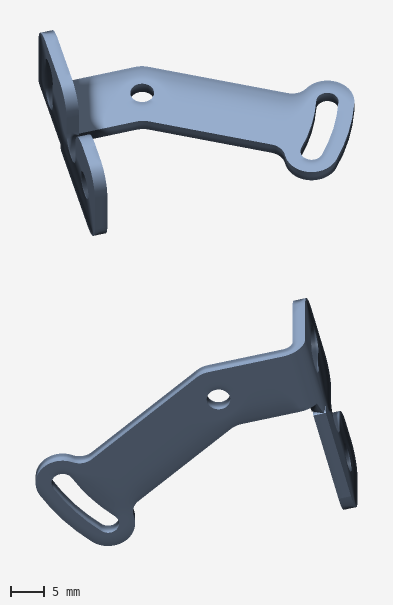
import cadquery as cq
import math

THICKNESS = 1.93
INNER_BEND = 1.52
OUTER_BEND = INNER_BEND + THICKNESS

FLANGE_LENGTH = 31.8
FLANGE_TOP = 17.15
CORNER_RADIUS = 3.85
NOTCH_X = 18.32
NOTCH_RADIUS = 2.5
FLANGE_PIVOT = (26.05, 9.5)
FLANGE_HOLE_DIAMETER = 4.3
FLANGE_SLOT_REACH = 20.35
FLANGE_SLOT_HALF_ANGLE = 7.6
FLANGE_SLOT_RADIUS = 2.15

RUNOUT_TOP_X = 12.15
RUNOUT_END_X = 12.6
RUNOUT_START_ANGLE = 39.5
RUNOUT_END_ANGLE = 26.0

ARM_WIDTH = 10.2
ARM_PIVOT = (ARM_WIDTH / 2, 14.6)
ARM_ANGLE = 61.0
ELBOW_RADIUS = 3.85
ARM_HOLE_DIAMETER = 3.55
HEAD_REACH = 27.65
HEAD_HALF_ANGLE = 10.3
HEAD_SLOT_RADIUS = 1.65
HEAD_RADIUS = 4.05
NECK_RADIUS = 2.7


def polar(center, radius, angle):
    """Point at an angle in degrees on a circle."""
    turn = math.radians(angle)
    return (center[0] + radius * math.cos(turn), center[1] + radius * math.sin(turn))


def arc_slot(plane, center, reach, middle_angle, half_angle, end_radius, depth):
    """Round-ended slot that follows an arc about a pivot."""
    first = middle_angle - half_angle
    last = middle_angle + half_angle
    outer = reach + end_radius
    inner = reach - end_radius
    return (
        cq.Workplane(plane)
        .moveTo(*polar(center, inner, first))
        .threePointArc(polar(center, inner, middle_angle), polar(center, inner, last))
        .threePointArc(
            polar(polar(center, reach, last), end_radius, last + 90), polar(center, outer, last)
        )
        .threePointArc(polar(center, outer, middle_angle), polar(center, outer, first))
        .threePointArc(
            polar(polar(center, reach, first), end_radius, first - 90), polar(center, inner, first)
        )
        .close()
        .extrude(depth)
    )


def make_flange():
    notch_left = NOTCH_X - NOTCH_RADIUS
    notch_right = NOTCH_X + NOTCH_RADIUS
    notch_z = FLANGE_PIVOT[1]
    plate = (
        cq.Workplane("XZ")
        .moveTo(0, OUTER_BEND)
        .lineTo(RUNOUT_TOP_X, OUTER_BEND)
        .lineTo(RUNOUT_END_X, THICKNESS)
        .lineTo(FLANGE_LENGTH, THICKNESS)
        .lineTo(FLANGE_LENGTH, FLANGE_TOP)
        .lineTo(notch_right, FLANGE_TOP)
        .lineTo(notch_right, notch_z)
        .threePointArc((NOTCH_X, notch_z - NOTCH_RADIUS), (notch_left, notch_z))
        .lineTo(notch_left, FLANGE_TOP)
        .lineTo(0, FLANGE_TOP)
        .close()
        .extrude(-THICKNESS)
    )
    lower_corner = cq.NearestToPointSelector((FLANGE_LENGTH, THICKNESS / 2, THICKNESS))
    plate = plate.faces(">Z").edges("|Y").fillet(CORNER_RADIUS)
    plate = plate.edges("|Y").edges(lower_corner).fillet(CORNER_RADIUS)
    hole = (
        cq.Workplane("XZ")
        .center(*FLANGE_PIVOT)
        .circle(FLANGE_HOLE_DIAMETER / 2)
        .extrude(-THICKNESS)
    )
    slot = arc_slot(
        "XZ", FLANGE_PIVOT, FLANGE_SLOT_REACH, 180, FLANGE_SLOT_HALF_ANGLE,
        FLANGE_SLOT_RADIUS, -THICKNESS,
    )
    return plate.cut(hole).cut(slot)


def bend_sector(start_x, length):
    """Quarter-tube joining the flange to the arm."""
    axis = (OUTER_BEND, OUTER_BEND)
    return (
        cq.Workplane("YZ", origin=(start_x, 0, 0))
        .moveTo(0, OUTER_BEND)
        .threePointArc(polar(axis, OUTER_BEND, 225), (OUTER_BEND, 0))
        .lineTo(OUTER_BEND, THICKNESS)
        .threePointArc(polar(axis, INNER_BEND, 225), (THICKNESS, OUTER_BEND))
        .close()
        .extrude(length)
    )


def make_runout():
    """Bend beyond the arm, trimmed to a bend angle that shrinks along X."""
    axis = (OUTER_BEND, OUTER_BEND)
    far = 2 * OUTER_BEND
    length = RUNOUT_END_X - ARM_WIDTH
    wedge = (
        cq.Workplane("YZ", origin=(ARM_WIDTH, 0, 0))
        .polyline([axis, polar(axis, far, 180), polar(axis, far, 180 + RUNOUT_START_ANGLE)])
        .close()
        .workplane(offset=length)
        .polyline([axis, polar(axis, far, 180), polar(axis, far, 180 + RUNOUT_END_ANGLE)])
        .close()
        .loft(ruled=True)
    )
    side_limit = (
        cq.Workplane("XZ")
        .polyline([
            (ARM_WIDTH, 0),
            (RUNOUT_END_X, 0),
            (RUNOUT_END_X, THICKNESS),
            (RUNOUT_TOP_X, OUTER_BEND),
            (ARM_WIDTH, OUTER_BEND),
        ])
        .close()
        .extrude(-OUTER_BEND)
    )
    return bend_sector(ARM_WIDTH, length).intersect(wedge).intersect(side_limit)


def make_arm():
    half_width = ARM_WIDTH / 2
    elbow_rise = half_width * math.tan(math.radians(90 - ARM_ANGLE) / 2)
    outer_elbow = (0, ARM_PIVOT[1] + elbow_rise)
    inner_elbow = (ARM_WIDTH, ARM_PIVOT[1] - elbow_rise)
    arm_end = polar(ARM_PIVOT, HEAD_REACH, ARM_ANGLE)
    left_end = polar(arm_end, half_width, ARM_ANGLE + 90)
    right_end = polar(arm_end, half_width, ARM_ANGLE - 90)
    arm = (
        cq.Workplane("XY")
        .polyline([
            (0, OUTER_BEND), (ARM_WIDTH, OUTER_BEND), inner_elbow, right_end, left_end, outer_elbow,
        ])
        .close()
        .extrude(THICKNESS)
    )
    for elbow in (outer_elbow, inner_elbow):
        corner = cq.NearestToPointSelector((*elbow, THICKNESS / 2))
        arm = arm.edges("|Z").edges(corner).fillet(ELBOW_RADIUS)

    head = arc_slot(
        "XY", ARM_PIVOT, HEAD_REACH, ARM_ANGLE, HEAD_HALF_ANGLE, HEAD_RADIUS, THICKNESS
    )
    arm = arm.union(head)
    end_turn = math.radians(HEAD_HALF_ANGLE)
    side_gap = half_width - HEAD_REACH * math.sin(end_turn)
    neck_reach = HEAD_REACH * math.cos(end_turn) - math.sqrt(HEAD_RADIUS**2 - side_gap**2)
    neck_center = polar(ARM_PIVOT, neck_reach, ARM_ANGLE)
    for side in (90, -90):
        neck = polar(neck_center, half_width, ARM_ANGLE + side)
        corner = cq.NearestToPointSelector((*neck, THICKNESS / 2))
        arm = arm.edges("|Z").edges(corner).fillet(NECK_RADIUS)

    hole = cq.Workplane("XY").center(*ARM_PIVOT).circle(ARM_HOLE_DIAMETER / 2).extrude(THICKNESS)
    slot = arc_slot(
        "XY", ARM_PIVOT, HEAD_REACH, ARM_ANGLE, HEAD_HALF_ANGLE, HEAD_SLOT_RADIUS, THICKNESS
    )
    return arm.cut(hole).cut(slot)


bend = bend_sector(0, ARM_WIDTH)
result = make_flange().union(bend).union(make_runout()).union(make_arm())